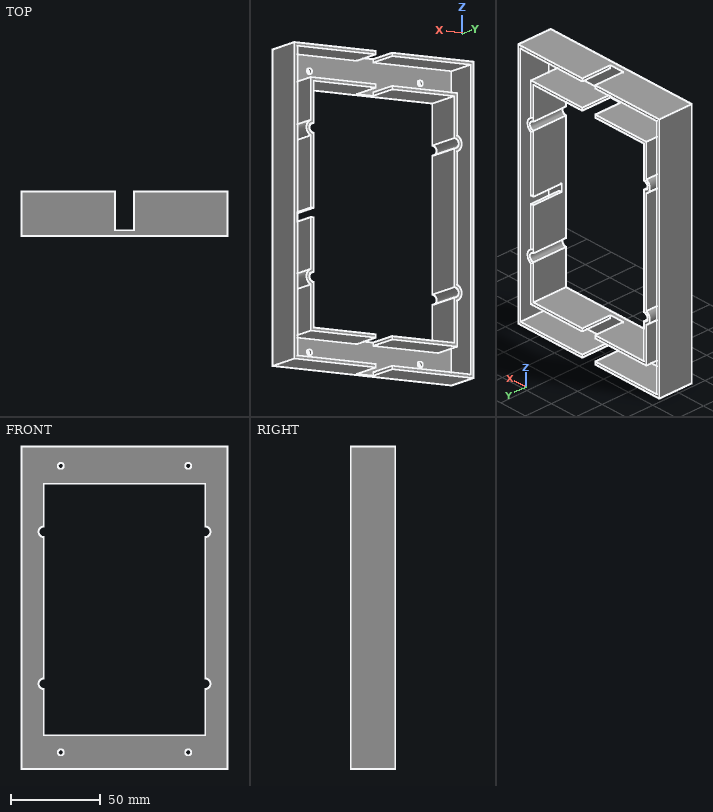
import cadquery as cq

width = 115.0
depth = 25.0
height = 180.0
wall = 2.0
plate_thickness = 3.5

opening_width = 90.0
opening_left = (width - opening_width) / 2
opening_right = opening_left + opening_width
opening_bottom = 18.9
opening_top = 159.1

groove_radius = 2.9
groove_inset = 12.51
groove_spacing = 84.8

hole_diameter = 3.2
hole_spacing_x = 71.1
hole_bottom = 9.4
hole_top = 169.2

end_slot_width = 10.5
side_slot_bottom = 81.5
side_slot_top = 87.0


def block(left, right, front, back, bottom, top):
    """Box given by its limits along X, Y and Z."""
    size = (right - left, back - front, top - bottom)
    return cq.Workplane("XY").box(*size, centered=False).translate((left, front, bottom))


def rods(points, radius, front):
    """Cylinders along Y from front to the open back, at the given (x, z) points."""
    plane = cq.Workplane("XZ", origin=(0, front, 0))
    return plane.pushPoints(points).circle(radius).extrude(front - depth)


middle_x = width / 2
groove_points = [
    (x, height / 2 + side * groove_spacing / 2)
    for x in (groove_inset, width - groove_inset)
    for side in (-1, 1)
]
hole_points = [
    (middle_x + side * hole_spacing_x / 2, z)
    for side in (-1, 1)
    for z in (hole_bottom, hole_top)
]

frame = block(0, width, 0, depth, 0, height)
frame = frame.cut(block(wall, width - wall, plate_thickness, depth, wall, height - wall))

inner_wall = block(
    opening_left - wall, opening_right + wall, plate_thickness, depth,
    opening_bottom - wall, opening_top + wall,
)
frame = frame.union(inner_wall)
frame = frame.union(rods(groove_points, groove_radius + wall, plate_thickness))

frame = frame.cut(block(opening_left, opening_right, 0, depth, opening_bottom, opening_top))
frame = frame.cut(rods(groove_points, groove_radius, 0))

frame = frame.cut(rods(hole_points, hole_diameter / 2, 0))

end_slot_left = middle_x - end_slot_width / 2
end_slot_right = middle_x + end_slot_width / 2
frame = frame.cut(block(end_slot_left, end_slot_right, plate_thickness, depth, 0, height))

side_slot = block(
    opening_right, opening_right + wall, plate_thickness, depth, side_slot_bottom, side_slot_top
)
result = frame.cut(side_slot)